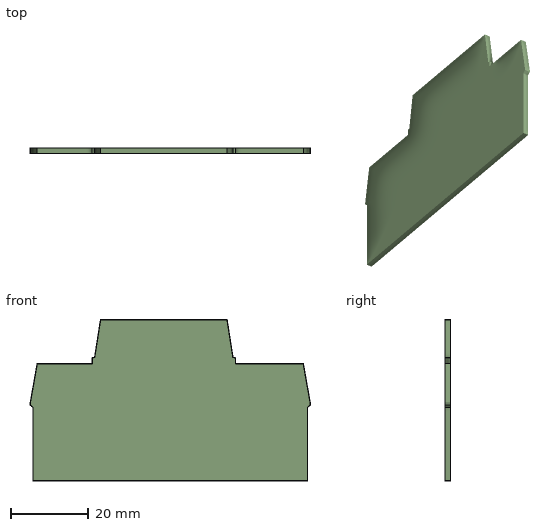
import cadquery as cq

overall_width = 72.7
thickness = 1.5
overall_height = 41.8

body_half_width = 35.6
shoulder_half_width = 34.5
shoulder_height = 30.4
lip_half_width = overall_width / 2
lip_top = 20.15
lip_edge_height = 0.4
lip_bottom = 19.05

tower_center = -1.7
tower_top_half_width = 16.4
tower_bottom_half_width = 17.95
step_half_width = 18.6
step_outer_height = 31.9
step_inner_height = 32.05

body_side = [
    (body_half_width, 0),
    (body_half_width, lip_bottom),
    (lip_half_width, lip_top - lip_edge_height),
    (lip_half_width, lip_top),
    (shoulder_half_width, shoulder_height),
]
tower_side = [
    (step_half_width, 0),
    (step_half_width, step_outer_height),
    (tower_bottom_half_width, step_inner_height),
    (tower_top_half_width, overall_height),
]


def symmetric_plate(side, center):
    """Mirror a half silhouette about X = center and extrude it to the plate thickness."""
    right = [(center + distance, height) for distance, height in side]
    left = [(center - distance, height) for distance, height in reversed(side)]
    outline = cq.Workplane("XZ").polyline(right + left).close()
    return outline.extrude(thickness / 2, both=True)


body = symmetric_plate(body_side, 0)
tower = symmetric_plate(tower_side, tower_center)
result = body.union(tower).clean()